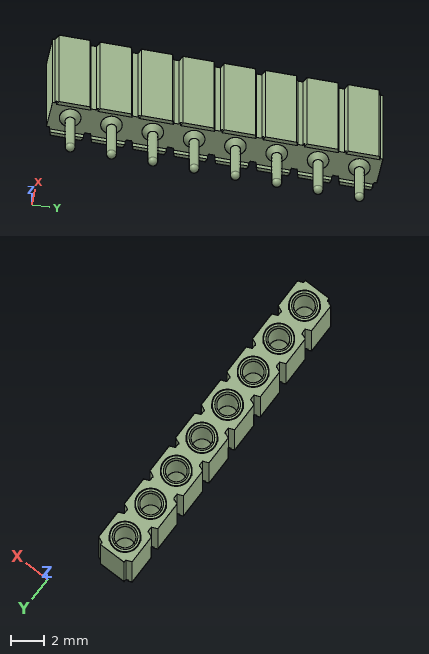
import cadquery as cq
import math

SOCKET_COUNT = 8
ROW_LENGTH = 20.32
PITCH = ROW_LENGTH / SOCKET_COUNT
FIRST_SOCKET_Y = (PITCH - ROW_LENGTH) / 2

HOUSING_WIDTH = PITCH
HOUSING_HEIGHT = 7.0
CHANNEL_WIDTH = 2.07
CHANNEL_HEIGHT = 0.33
NOTCH_DEPTH = 0.37
NOTCH_FLOOR_WIDTH = 0.33
NOTCH_MOUTH_WIDTH = 0.63

BARREL_RADIUS = 0.91
LEG_RADIUS = 0.3
LEG_LENGTH = 3.03
BORE_RADIUS = 0.65
BORE_DEPTH = 4.06
BORE_TIP_ANGLE = 118.0
LEAD_IN_RADIUS = 0.77
LEAD_IN_DEPTH = 0.15

SHOULDER_END_Z = -0.02
SEAT_CLEARANCE = 0.05
SEAT_RADIUS = BARREL_RADIUS + SEAT_CLEARANCE


def shoulder_z(radius):
    """Height at which the 45 degree shoulder has the given radius."""
    return SHOULDER_END_Z + radius - LEG_RADIUS


def shoulder_radius(z):
    """Radius of the 45 degree shoulder at the given height."""
    return LEG_RADIUS + z - SHOULDER_END_Z


def make_notch_pair(y):
    """Flared vertical notches in both long sides of the housing."""
    side_x = HOUSING_WIDTH / 2
    floor_x = side_x - NOTCH_DEPTH
    right_notch = (
        cq.Workplane("XY")
        .polyline([
            (side_x, y - NOTCH_MOUTH_WIDTH / 2),
            (side_x, y + NOTCH_MOUTH_WIDTH / 2),
            (floor_x, y + NOTCH_FLOOR_WIDTH / 2),
            (floor_x, y - NOTCH_FLOOR_WIDTH / 2),
        ])
        .close()
        .extrude(HOUSING_HEIGHT)
    )
    return right_notch.union(right_notch.mirror("YZ"))


def make_seat(y):
    """Hole for one pin: a straight bore above a conical seat."""
    return (
        cq.Workplane("XZ")
        .polyline([
            (0, CHANNEL_HEIGHT),
            (shoulder_radius(CHANNEL_HEIGHT), CHANNEL_HEIGHT),
            (SEAT_RADIUS, shoulder_z(SEAT_RADIUS)),
            (SEAT_RADIUS, HOUSING_HEIGHT),
            (0, HOUSING_HEIGHT),
        ])
        .close()
        .revolve(360, (0, 0), (0, 1))
        .translate((0, y, 0))
    )


def make_housing(socket_ys):
    body = cq.Workplane("XY").box(
        HOUSING_WIDTH, ROW_LENGTH, HOUSING_HEIGHT, centered=(True, True, False)
    )
    channel = cq.Workplane("XY").box(
        CHANNEL_WIDTH, ROW_LENGTH, CHANNEL_HEIGHT, centered=(True, True, False)
    )
    body = body.cut(channel)
    for i in range(SOCKET_COUNT + 1):
        body = body.cut(make_notch_pair(i * PITCH - ROW_LENGTH / 2))
    for y in socket_ys:
        body = body.cut(make_seat(y))
    return body


def make_pin(y):
    """Turned pin: bored barrel, conical shoulder and round-ended leg."""
    bore_end_z = HOUSING_HEIGHT - BORE_DEPTH
    bore_tip_z = bore_end_z - BORE_RADIUS / math.tan(math.radians(BORE_TIP_ANGLE / 2))
    leg_end_z = -LEG_LENGTH
    round_start_z = leg_end_z + LEG_RADIUS
    round_middle = LEG_RADIUS * math.sqrt(0.5)
    return (
        cq.Workplane("XZ")
        .moveTo(0, leg_end_z)
        .threePointArc(
            (round_middle, round_start_z - round_middle), (LEG_RADIUS, round_start_z)
        )
        .lineTo(LEG_RADIUS, SHOULDER_END_Z)
        .lineTo(BARREL_RADIUS, shoulder_z(BARREL_RADIUS))
        .lineTo(BARREL_RADIUS, HOUSING_HEIGHT)
        .lineTo(LEAD_IN_RADIUS, HOUSING_HEIGHT)
        .lineTo(BORE_RADIUS, HOUSING_HEIGHT - LEAD_IN_DEPTH)
        .lineTo(BORE_RADIUS, bore_end_z)
        .lineTo(0, bore_tip_z)
        .close()
        .revolve(360, (0, 0), (0, 1))
        .translate((0, y, 0))
    )


socket_centres = [FIRST_SOCKET_Y + i * PITCH for i in range(SOCKET_COUNT)]
housing = make_housing(socket_centres)
pins = [make_pin(y) for y in socket_centres]

result = cq.Compound.makeCompound([housing.val(), *[pin.val() for pin in pins]])